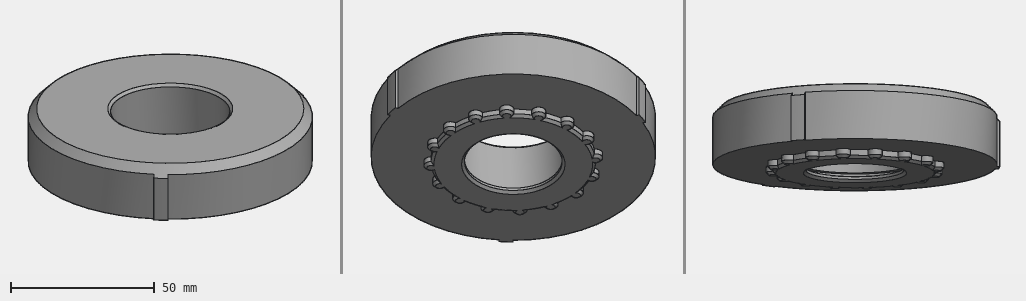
import cadquery as cq
import math

total_height = 23.0
base_height = 3.0
cap_height = total_height - base_height

cap_radius = 49.5
cap_chamfer = 3.0
bore_diameter = 41.5
bore_chamfer = 1.0
key_count = 3
key_width = 5.0
key_projection = 1.0
key_radius = cap_radius + key_projection
key_start_angle = 90.0

base_radius = 28.6
base_chamfer = 1.0
hole_diameter = 34.0
hole_chamfer = 1.0
lobe_count = 16
lobe_radius = 2.5
lobe_circle_radius = 28.7

undercut_diameter = 46.0
undercut_floor = 2.0
undercut_roof = 4.0


def disc(radius, bottom, height):
    """Plain upright disc on the Z axis."""
    return cq.Workplane("XY").workplane(offset=bottom).circle(radius).extrude(height)


def undercut():
    """Space removed from both the cap and the base."""
    return disc(undercut_diameter / 2, undercut_floor, undercut_roof - undercut_floor)


def rim_key(angle):
    """Radial bar with parallel sides that reaches from the axis past the cap rim."""
    bar = (
        cq.Workplane("XY")
        .workplane(offset=base_height)
        .center(key_radius / 2, 0)
        .rect(key_radius, key_width)
        .extrude(cap_height)
    )
    return bar.rotate((0, 0, 0), (0, 0, 1), angle)


def make_cap():
    """Keyed ring whose rim and keys share one conical top edge."""
    cap = disc(cap_radius, base_height, cap_height)
    for index in range(key_count):
        cap = cap.union(rim_key(key_start_angle + index * 360 / key_count))

    envelope = disc(key_radius, base_height, cap_height)
    envelope = envelope.faces(">Z").chamfer(cap_chamfer + key_projection)
    cap = cap.intersect(envelope)

    bore_radius = bore_diameter / 2
    bore_mouth = cq.Solid.makeCone(
        bore_radius,
        bore_radius + bore_chamfer,
        bore_chamfer,
        pnt=cq.Vector(0, 0, total_height - bore_chamfer),
    )
    bore = disc(bore_radius, base_height, cap_height)
    return cap.cut(bore).cut(cq.Workplane(bore_mouth)).cut(undercut())


def chamfered_disc(radius):
    """Disc of the base thickness with its bottom edge chamfered."""
    return disc(radius, 0, base_height).faces("<Z").chamfer(base_chamfer)


def make_base():
    """Lobed ring, chamfered along its bottom edges and recessed on top."""
    base = chamfered_disc(base_radius)
    for index in range(lobe_count):
        angle = math.radians(index * 360 / lobe_count)
        lobe_x = lobe_circle_radius * math.cos(angle)
        lobe_y = lobe_circle_radius * math.sin(angle)
        base = base.union(chamfered_disc(lobe_radius).translate((lobe_x, lobe_y, 0)))

    hole_radius = hole_diameter / 2
    hole_mouth = cq.Solid.makeCone(hole_radius + hole_chamfer, hole_radius, hole_chamfer)
    hole = disc(hole_radius, 0, base_height)
    return base.cut(hole).cut(cq.Workplane(hole_mouth)).cut(undercut())


cap = make_cap().solids()
base = make_base().solids()

result = cq.Compound.makeCompound([cap.val(), base.val()])